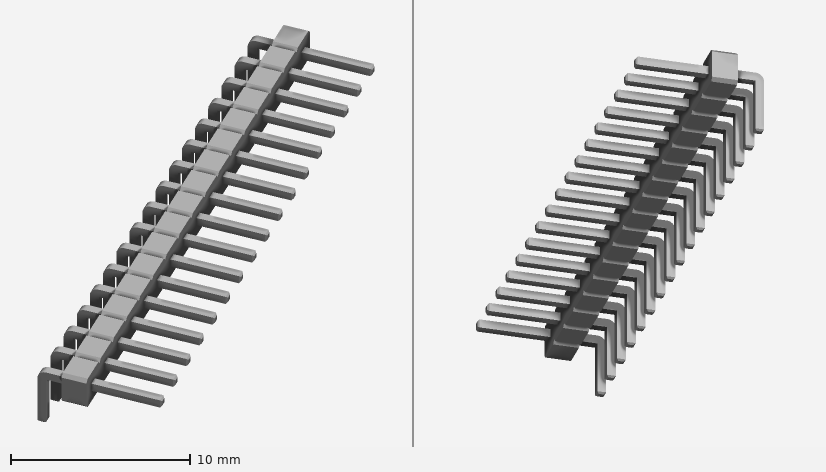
import cadquery as cq

pin_count = 17
strip_length = 34.0
pitch = strip_length / pin_count

body_width = 1.5
body_height = 2.0
body_chamfer = 0.2

pin_size = 0.5
tip_chamfer = 0.1
pin_span = 7.45
overall_height = 4.4
tail_to_body = 1.75

half_pin = pin_size / 2
pin_left = -(tail_to_body + body_width / 2)
pin_right = pin_left + pin_span
pin_bottom = body_height / 2 - overall_height


def make_block():
    """Plastic block around one pin, with its four long edges chamfered."""
    block = cq.Workplane("XY").box(body_width, pitch, body_height)
    return block.edges("|X").chamfer(body_chamfer)


def make_pin():
    """Square right-angle pin: rounded outside the bend, sharp inside, chamfered tips."""
    profile = (
        cq.Workplane("XZ")
        .moveTo(pin_left, pin_bottom)
        .lineTo(pin_left, -half_pin)
        .radiusArc((pin_left + pin_size, half_pin), pin_size)
        .lineTo(pin_right, half_pin)
        .lineTo(pin_right, -half_pin)
        .lineTo(pin_left + pin_size, -half_pin)
        .lineTo(pin_left + pin_size, pin_bottom)
        .close()
    )
    pin = profile.extrude(half_pin, both=True)
    pin = pin.faces(">X").chamfer(tip_chamfer)
    return pin.faces("<Z").chamfer(tip_chamfer)


segment = make_block().union(make_pin())
result = cq.Workplane("XY")
for index in range(pin_count):
    pin_y = (index - (pin_count - 1) / 2) * pitch
    result = result.union(segment.translate((0, pin_y, 0)))